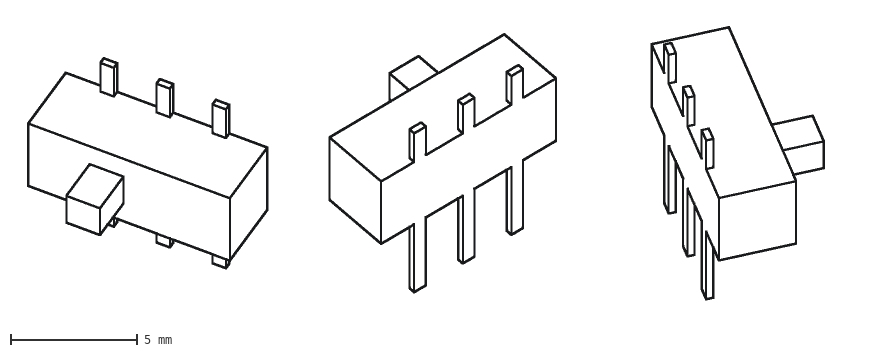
import cadquery as cq


body_length = 9.0
body_depth = 3.2
body_height = 3.5

knob_side = 1.5
knob_reach = 2.0
knob_offset = -1.0

pin_count = 3
pin_pitch = 2.5
pin_width = 0.6
pin_thickness = 0.3
pin_rise = 1.6
pin_drop = 3.8

front_y = -body_depth / 2
back_y = body_depth / 2


def make_knob():
    """Square knob standing out from the front face."""
    knob = cq.Workplane("XY").box(knob_side, knob_reach, knob_side)
    return knob.translate((knob_offset, front_y - knob_reach / 2, 0))


def make_pin(x):
    """Flat pin running through the housing from below to above it."""
    pin_length = pin_drop + body_height + pin_rise
    pin = cq.Workplane("XY").box(pin_width, pin_thickness, pin_length)
    return pin.translate((x, back_y - pin_thickness / 2, (pin_rise - pin_drop) / 2))


result = cq.Workplane("XY").box(body_length, body_depth, body_height)
result = result.union(make_knob())
for index in range(pin_count):
    pin_x = (index - (pin_count - 1) / 2) * pin_pitch
    result = result.union(make_pin(pin_x))